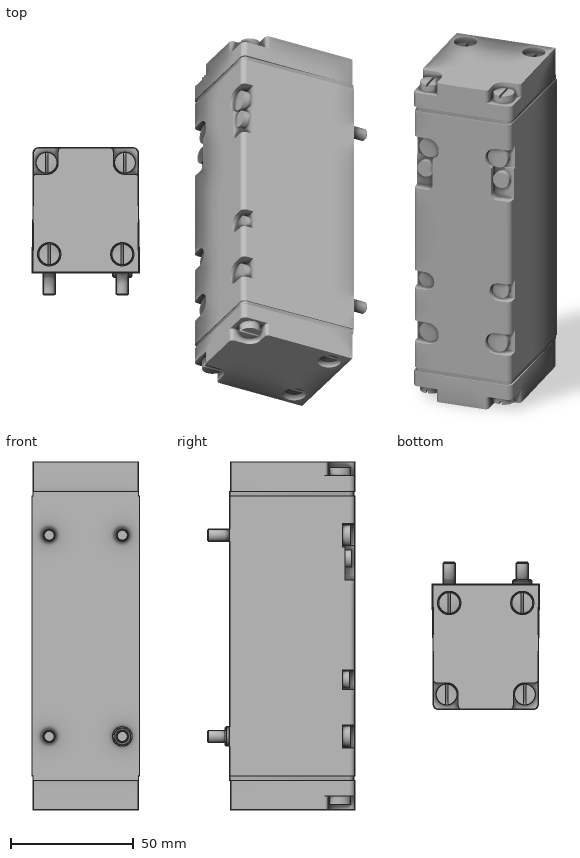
import cadquery as cq


total_height = 142.0
cap_height = 12.0
gasket_height = 1.8
body_height = total_height - 2 * (cap_height + gasket_height)
depth = 51.1

body_front_width = 44.0
body_back_width = 42.2
body_corner_radius = 2.0
gasket_inset = 0.4
gasket_corner_radius = 2.3

cap_width = 43.0
cap_front_inset = 0.4
cap_corner_radius = 2.3

head_diameter = 8.5
recess_diameter = 9.5
slot_width = 1.0
slot_depth = 1.4

cap_recess_depth = 5.7
cap_recess_floor_z = total_height / 2 - cap_recess_depth
cap_recess_middle_z = total_height / 2 - cap_recess_depth / 2
cap_head_height = 3.4
corner_screw_x = cap_width / 2 - 5.5
corner_screw_y = depth - 6.1
corner_recess_inner_x = corner_screw_x - recess_diameter / 2
corner_recess_front_y = corner_screw_y - recess_diameter / 2
corner_recess_edge_radius = 1.4
front_screw_x = 14.9
front_screw_y = 7.7

mount_x = 14.9
mount_z = 41.0
mount_recess_depth = 5.0
mount_head_height = 3.1
pin_diameter = 5.0
pin_length = 9.0
pin_chamfer = 0.4

collar_diameter = 8.0
collar_height = 1.8
collar_chamfer = 0.5

small_head_diameter = 7.0

round_recess_diameter = 8.0
round_recess_depth = 5.0
round_recess_x = 16.0
round_recess_z = -17.9
round_head_height = 2.7

block_recess_inner_x = 12.8
block_recess_bottom_z = 22.9
block_recess_depth = 4.1
block_recess_radius = 2.5
block_head_x = 16.5
block_head_z = 31.5
block_head_height = 2.8

SIDES = (-1, 1)


def tapered_block(front_width, back_width, back_y, height, corner_radius):
    """Upright block, centred in Z, narrowing towards its rounded back edges."""
    return (
        cq.Workplane("XY", origin=(0, 0, -height / 2))
        .moveTo(-front_width / 2, 0)
        .lineTo(front_width / 2, 0)
        .lineTo(back_width / 2, back_y)
        .lineTo(-back_width / 2, back_y)
        .close()
        .extrude(height)
        .edges("|Z and >Y")
        .fillet(corner_radius)
    )


def back_head(x, z, diameter, recess_depth, height):
    """Plain round head standing on the floor of a back recess."""
    floor = cq.Workplane("XZ", origin=(x, depth - recess_depth, z))
    return floor.circle(diameter / 2).extrude(-height)


def back_slot(side, x, z, diameter, recess_depth):
    """Round-ended recess in the back that stays open to the side face."""
    channel_length = body_front_width / 2 - x
    floor = cq.Workplane("XZ", origin=(side * x, depth - recess_depth, z))
    round_end = floor.circle(diameter / 2).extrude(-recess_depth)
    channel = floor.center(side * channel_length / 2, 0).rect(channel_length, diameter).extrude(-recess_depth)
    return round_end.union(channel)


def slotted_head(x, y):
    """Screw head standing on the floor of a cap recess, slotted along Y."""
    floor = cq.Workplane("XY", origin=(x, y, cap_recess_floor_z))
    head = floor.circle(head_diameter / 2).extrude(cap_head_height)
    slot_floor = floor.workplane(offset=cap_head_height - slot_depth)
    return head.cut(slot_floor.rect(slot_width, head_diameter).extrude(slot_depth))


def corner_recess(side):
    """Recess at a back corner of the cap, rounded around its screw."""
    size_x = cap_width / 2 - corner_recess_inner_x
    size_y = depth - corner_recess_front_y
    inner_corner = (side * corner_recess_inner_x, corner_recess_front_y, cap_recess_middle_z)
    return (
        cq.Workplane("XY", origin=(0, 0, cap_recess_floor_z))
        .center(side * (corner_recess_inner_x + size_x / 2), corner_recess_front_y + size_y / 2)
        .rect(size_x, size_y)
        .extrude(cap_recess_depth)
        .edges(cq.selectors.NearestToPointSelector(inner_corner))
        .fillet(recess_diameter / 2)
    )


def make_cap():
    """Upper end cap with two open corner screws and two sunk front screws."""
    cap = (
        cq.Workplane("XY", origin=(0, cap_front_inset, total_height / 2 - cap_height))
        .box(cap_width, depth - cap_front_inset, cap_height, centered=(True, False, False))
        .edges("|Z and >Y")
        .fillet(cap_corner_radius)
    )
    for side in SIDES:
        cap = cap.cut(corner_recess(side))
        back_edge = (side * corner_recess_inner_x, depth, cap_recess_middle_z)
        side_edge = (side * cap_width / 2, corner_recess_front_y, cap_recess_middle_z)
        for edge_point in (back_edge, side_edge):
            edge = cq.selectors.NearestToPointSelector(edge_point)
            cap = cap.edges(edge).fillet(corner_recess_edge_radius)

        sunk_floor = cq.Workplane("XY", origin=(side * front_screw_x, front_screw_y, cap_recess_floor_z))
        cap = cap.cut(sunk_floor.circle(recess_diameter / 2).extrude(cap_recess_depth))
        cap = cap.union(slotted_head(side * corner_screw_x, corner_screw_y))
        cap = cap.union(slotted_head(side * front_screw_x, front_screw_y))
    return cap


def make_gasket():
    """Upper gasket, slightly smaller than the body on its sides and back."""
    gasket = tapered_block(
        body_front_width - 2 * gasket_inset,
        body_back_width - 2 * gasket_inset,
        depth - gasket_inset,
        gasket_height,
        gasket_corner_radius,
    )
    return gasket.translate((0, 0, (body_height + gasket_height) / 2))


def block_recess(side):
    """Rectangular recess with a rounded lower inner corner, open to the side face."""
    size_x = body_front_width / 2 - block_recess_inner_x
    size_z = mount_z - block_recess_bottom_z
    center_x = side * (block_recess_inner_x + size_x / 2)
    corner = (side * block_recess_inner_x, depth - block_recess_depth / 2, block_recess_bottom_z)
    return (
        cq.Workplane("XY")
        .box(size_x, block_recess_depth, size_z)
        .translate((center_x, depth - block_recess_depth / 2, block_recess_bottom_z + size_z / 2))
        .edges(cq.selectors.NearestToPointSelector(corner))
        .fillet(block_recess_radius)
    )


def mounting_pin(x, z):
    """Screw end that stands out of the front face."""
    pin = cq.Workplane("XZ", origin=(x, 0, z)).circle(pin_diameter / 2).extrude(pin_length)
    return pin.faces("<Y").chamfer(pin_chamfer)


def make_body():
    """Body with the recesses and heads in its back face, and the pins on its front face."""
    body = tapered_block(body_front_width, body_back_width, depth, body_height, body_corner_radius)
    for side in SIDES:
        for z in (-mount_z, mount_z):
            body = body.cut(back_slot(side, mount_x, z, recess_diameter, mount_recess_depth))
        round_recess = back_slot(
            side, round_recess_x, round_recess_z, round_recess_diameter, round_recess_depth
        )
        body = body.cut(round_recess).cut(block_recess(side))

        for z in (-mount_z, mount_z):
            x = side * mount_x
            body = body.union(back_head(x, z, head_diameter, mount_recess_depth, mount_head_height))
            body = body.union(mounting_pin(x, z))
        round_recess_head = back_head(
            side * round_recess_x, round_recess_z, small_head_diameter, round_recess_depth, round_head_height
        )
        block_recess_head = back_head(
            side * block_head_x, block_head_z, small_head_diameter, block_recess_depth, block_head_height
        )
        body = body.union(round_recess_head).union(block_recess_head)
    return body


def make_collar():
    """Chamfered collar around the lower right pin."""
    plane = cq.Workplane("XZ", origin=(mount_x, 0, -mount_z))
    return plane.circle(collar_diameter / 2).extrude(collar_height).faces("<Y").chamfer(collar_chamfer)


upper_end = make_cap().union(make_gasket())
lower_end = upper_end.mirror("XY")
result = make_body().union(make_collar()).union(upper_end).union(lower_end)